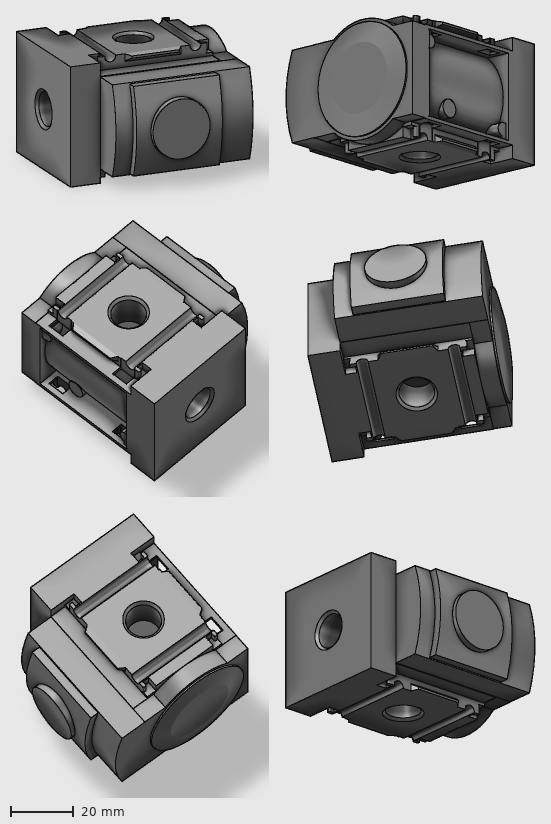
import cadquery as cq

BODY_WIDTH = 42.1
BODY_HEIGHT = 40.2
BODY_HALF_LENGTH = 21.0
FRONT_Y = -31.45
HALF_WIDTH = BODY_WIDTH / 2
HALF_HEIGHT = BODY_HEIGHT / 2

LEDGE_Z = 15.65
PAD_HALF_WIDTH = 15.2

GROOVE_DIAMETER = 3.8
GROOVE_Y = 14.9
GROOVE_DEPTH = 2.05

POCKET_WIDTH = 3.55
POCKET_INNER_Y = 17.3
POCKET_FLOOR_Z = 16.75
PEG_WIDTH = 1.25
PEG_LENGTH = 1.75
PEG_FILLET = 0.35

LUG_REACH = 2.05
LUG_ROOT_LENGTH = 19.55
LUG_TIP_LENGTH = 16.7
LUG_TIP_TOP_Z = 19.75
LUG_TIP_BOTTOM_Z = 18.95
LUG_ROOT_Z = 17.5
LUG_BEND_Z = 18.05
LUG_BEND_OFFSET = 0.5

PORT_DIAMETER = 11.4
PORT_MOUTH_DIAMETER = 13.3
PORT_DEPTH = 12.1

BARREL_DIAMETER = 37.6
WINDOW_HALF_LENGTH = 19.0
WINDOW_HALF_HEIGHT = 14.5
WINDOW_DEPTH = 12.1
PIN_DIAMETER = 6.1
PIN_Y = 6.05
PIN_Z = -8.6
PIN_FACE_X = -18.1
BOSS_DIAMETER = 4.5
BOSS_Y = 17.45
BOSS_Z = 11.0
RIB_INNER_Y = 17.1
BOSS_FACE_X = -20.05

SLOT_LEFT_X = -18.9
SLOT_RIGHT_X = -15.0
SLOT_LENGTH = 6.05
SLOT_Y = 14.0

PLATE_THICKNESS = 6.05
PLATE_HALF_HEIGHT = 15.45
HUMP_DIAMETER = 40.0
BACK_PLATE_Y = BODY_HALF_LENGTH + PLATE_THICKNESS
COVER_TOP_DIAMETER = 23.55
COVER_RIM = 0.6
COVER_HEIGHT = 1.9

CAP_SHOULDER_X = 30.4
CAP_CROWN_X = 33.1
CAP_HALF_HEIGHT = 15.4
BADGE_SIDE = 30.0
BADGE_SHOULDER_X = 33.45
BADGE_CROWN_X = 35.95
KNOB_DIAMETER = 20.0
OVERALL_X = 58.5
KNOB_FACE_X = OVERALL_X - HALF_WIDTH


def box(x0, x1, y0, y1, z0, z1):
    """Axis-aligned box between two opposite corners."""
    return cq.Workplane("XY").box(x1 - x0, y1 - y0, z1 - z0, centered=False).translate((x0, y0, z0))


def y_cylinder(diameter, y0, y1):
    """Cylinder around the Y axis between two Y positions."""
    return cq.Workplane("XZ", origin=(0, y0, 0)).circle(diameter / 2).extrude(y0 - y1)


def x_cylinder(diameter, x0, x1, y=0, z=0):
    """Cylinder parallel to the X axis between two X positions."""
    return cq.Workplane("YZ", origin=(x0, y, z)).circle(diameter / 2).extrude(x1 - x0)


def both_heights(top_shape):
    """The shape together with its mirror image below the mid-height plane."""
    return top_shape.union(top_shape.mirror("XY"))


def four_corners(shape):
    """The shape repeated by mirroring in X and in Y."""
    pair = shape.union(shape.mirror("YZ"))
    return pair.union(pair.mirror("XZ"))


def port(plane):
    """Blind hole with a 45 degree countersunk mouth, cut inward from the given plane."""
    countersink = (PORT_MOUTH_DIAMETER - PORT_DIAMETER) / 2
    hole = cq.Workplane(plane).circle(PORT_DIAMETER / 2).extrude(-PORT_DEPTH)
    mouth = cq.Workplane(plane).circle(PORT_MOUTH_DIAMETER / 2).extrude(-countersink, taper=45)
    return hole.union(mouth)


def main_block():
    """Full-height front block, lower body between the ledges, and the two raised pads."""
    front = box(-HALF_WIDTH, HALF_WIDTH, FRONT_Y, -BODY_HALF_LENGTH, -HALF_HEIGHT, HALF_HEIGHT)
    body = box(-HALF_WIDTH, HALF_WIDTH, -BODY_HALF_LENGTH, BODY_HALF_LENGTH, -LEDGE_Z, LEDGE_Z)
    pads = box(
        -PAD_HALF_WIDTH, PAD_HALF_WIDTH, -BODY_HALF_LENGTH, BODY_HALF_LENGTH, -HALF_HEIGHT, HALF_HEIGHT
    )
    return front.union(body).union(pads)


def corner_pocket():
    """L-shaped pocket in the +X +Y corner of the top pad, leaving its peg standing."""
    pocket = box(
        PAD_HALF_WIDTH - POCKET_WIDTH, PAD_HALF_WIDTH,
        POCKET_INNER_Y, BODY_HALF_LENGTH,
        POCKET_FLOOR_Z, HALF_HEIGHT,
    )
    peg = box(
        PAD_HALF_WIDTH - PEG_WIDTH, PAD_HALF_WIDTH,
        POCKET_INNER_Y, POCKET_INNER_Y + PEG_LENGTH,
        POCKET_FLOOR_Z, HALF_HEIGHT,
    )
    return pocket.cut(peg.edges("|Z and >Y").fillet(PEG_FILLET))


def grooves():
    """Round-bottomed grooves running across the top pad."""
    groove_z = HALF_HEIGHT - GROOVE_DEPTH + GROOVE_DIAMETER / 2
    cuts = cq.Workplane("XY")
    for y in (-GROOVE_Y, GROOVE_Y):
        cuts = cuts.union(x_cylinder(GROOVE_DIAMETER, -PAD_HALF_WIDTH, PAD_HALF_WIDTH, y, groove_z))
    return cuts


def top_lugs():
    """Wedge lugs on both sides of the top pad, narrowing to their tips and rounded in underneath."""
    tip_x = PAD_HALF_WIDTH + LUG_REACH
    profile = (
        cq.Workplane("XZ")
        .moveTo(PAD_HALF_WIDTH, HALF_HEIGHT)
        .lineTo(tip_x, LUG_TIP_TOP_Z)
        .lineTo(tip_x, LUG_TIP_BOTTOM_Z)
        .lineTo(PAD_HALF_WIDTH + LUG_BEND_OFFSET, LUG_BEND_Z)
        .tangentArcPoint((PAD_HALF_WIDTH, LUG_ROOT_Z), relative=False)
        .close()
        .extrude(LUG_ROOT_LENGTH / 2, both=True)
    )
    plan = (
        cq.Workplane("XY", origin=(0, 0, LEDGE_Z))
        .moveTo(PAD_HALF_WIDTH, -LUG_ROOT_LENGTH / 2)
        .lineTo(tip_x, -LUG_TIP_LENGTH / 2)
        .lineTo(tip_x, LUG_TIP_LENGTH / 2)
        .lineTo(PAD_HALF_WIDTH, LUG_ROOT_LENGTH / 2)
        .close()
        .extrude(HALF_HEIGHT - LEDGE_Z)
    )
    lug = profile.intersect(plan)
    return lug.union(lug.mirror("YZ"))


def window_cavity():
    """Space between the window opening and the barrel, less the pin and the corner bosses."""
    cavity = box(
        -HALF_WIDTH, -HALF_WIDTH + WINDOW_DEPTH,
        -WINDOW_HALF_LENGTH, WINDOW_HALF_LENGTH,
        -WINDOW_HALF_HEIGHT, WINDOW_HALF_HEIGHT,
    )
    cavity = cavity.cut(y_cylinder(BARREL_DIAMETER, -BODY_HALF_LENGTH, BODY_HALF_LENGTH))
    cavity = cavity.cut(x_cylinder(PIN_DIAMETER, PIN_FACE_X, 0, PIN_Y, PIN_Z))
    boss = corner_boss()
    return cavity.cut(boss).cut(boss.rotate((0, 0, 0), (1, 0, 0), 180))


def corner_boss():
    """Round boss joined by a rib to the end wall and ceiling of the window."""
    boss = x_cylinder(BOSS_DIAMETER, BOSS_FACE_X, 0, BOSS_Y, BOSS_Z)
    rib = box(
        BOSS_FACE_X, 0,
        RIB_INNER_Y, WINDOW_HALF_LENGTH,
        BOSS_Z - BOSS_DIAMETER / 2, WINDOW_HALF_HEIGHT,
    )
    return boss.union(rib)


def ledge_slots():
    """Slots through the top -X ledge into the window, grazing the side of the pad."""
    cuts = cq.Workplane("XY")
    for y in (-SLOT_Y, SLOT_Y):
        cuts = cuts.union(
            box(
                SLOT_LEFT_X, SLOT_RIGHT_X,
                y - SLOT_LENGTH / 2, y + SLOT_LENGTH / 2,
                WINDOW_HALF_HEIGHT, HALF_HEIGHT,
            )
        )
    return cuts


def back_plate():
    """Flat plate with a round hump and a coned cover behind it."""
    plate = box(
        -HALF_WIDTH, HALF_WIDTH,
        BODY_HALF_LENGTH, BACK_PLATE_Y,
        -PLATE_HALF_HEIGHT, PLATE_HALF_HEIGHT,
    )
    hump = y_cylinder(HUMP_DIAMETER, BODY_HALF_LENGTH, BACK_PLATE_Y)
    cover = (
        cq.Workplane("XY")
        .moveTo(0, BACK_PLATE_Y)
        .lineTo(BARREL_DIAMETER / 2, BACK_PLATE_Y)
        .lineTo(BARREL_DIAMETER / 2, BACK_PLATE_Y + COVER_RIM)
        .lineTo(COVER_TOP_DIAMETER / 2, BACK_PLATE_Y + COVER_HEIGHT)
        .lineTo(0, BACK_PLATE_Y + COVER_HEIGHT)
        .close()
        .revolve(360, (0, 0, 0), (0, 1, 0))
    )
    return plate.union(hump).union(cover)


def crowned_bar(shoulder_x, crown_x, half_height, y0, y1):
    """Bar reaching out in +X whose end face is an arc bulging at mid height."""
    return (
        cq.Workplane("XZ", origin=(0, y0, 0))
        .moveTo(HALF_WIDTH, -half_height)
        .lineTo(shoulder_x, -half_height)
        .threePointArc((crown_x, 0), (shoulder_x, half_height))
        .lineTo(HALF_WIDTH, half_height)
        .close()
        .extrude(y0 - y1)
    )


def end_cap():
    """Crowned cap, square crowned plate and round knob stacked on the +X side."""
    cap = crowned_bar(CAP_SHOULDER_X, CAP_CROWN_X, CAP_HALF_HEIGHT, -BODY_HALF_LENGTH, BACK_PLATE_Y)
    half_side = BADGE_SIDE / 2
    badge = crowned_bar(BADGE_SHOULDER_X, BADGE_CROWN_X, half_side, -half_side, half_side)
    knob = x_cylinder(KNOB_DIAMETER, CAP_SHOULDER_X, KNOB_FACE_X)
    return cap.union(badge).union(knob)


result = main_block().union(both_heights(top_lugs()))
result = result.union(back_plate()).union(end_cap())

result = result.cut(both_heights(four_corners(corner_pocket())))
result = result.cut(both_heights(grooves()))
result = result.cut(window_cavity())
result = result.cut(both_heights(ledge_slots()))

top_port = port(cq.Plane(origin=(0, 0, HALF_HEIGHT)))
front_port = port(cq.Plane(origin=(0, FRONT_Y, 0), xDir=(1, 0, 0), normal=(0, -1, 0)))
result = result.cut(both_heights(top_port)).cut(front_port)